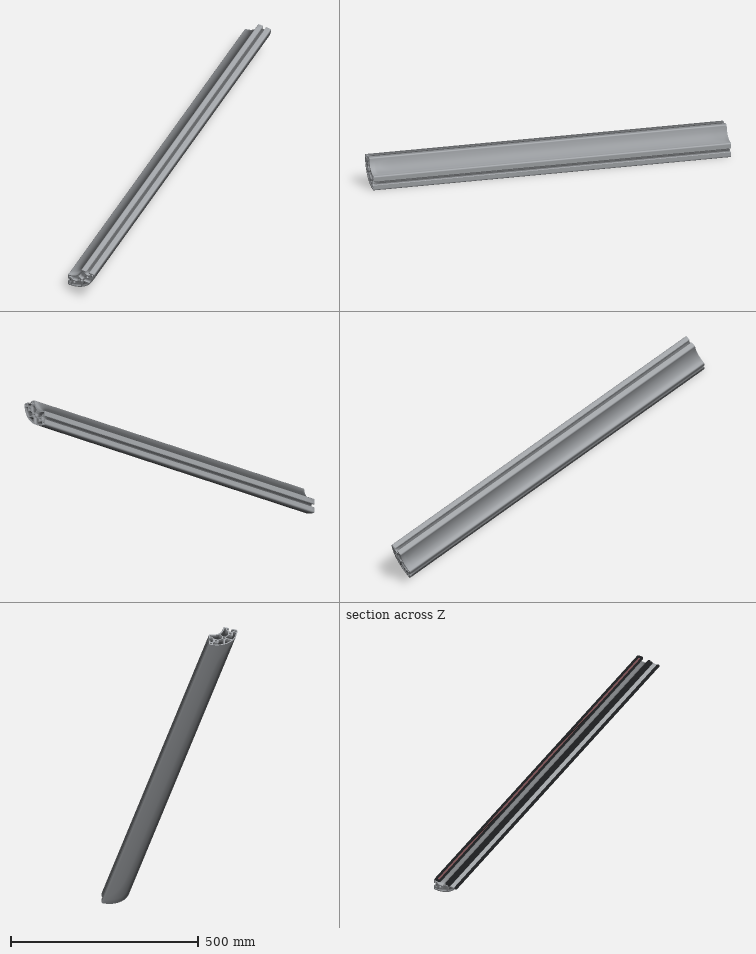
import cadquery as cq
import math

length = 1000.0
outer_radius = 80.0
inner_radius = 40.0
corner_radius = 4.0
middle_radius = (inner_radius + outer_radius) / 2
end_width = outer_radius - inner_radius
diagonal = math.sin(math.radians(45))

outer_wall = 3.0
inner_wall = 3.5
end_wall = 3.5
web = 2.5
hub_web = 3.5

slot_mouth = 8.4
mouth_chamfer = 1.2
lip = 4.0
slot_width = 19.0
slot_depth = 12.0
slot_floor_taper = 5.0
slot_wall = 2.5
slot_floor = 2.0
groove_width = 3.0
groove_depth = 0.5
side_web_depth = 10.0

hole_diameter = 6.8
boss_side = 13.0
boss_depth = 20.0
neck_width = 9.0
hub_side = 11.0
hub_position = middle_radius * diagonal
hub = (hub_position, -hub_position)


def section():
    """XZ sketch plane on the far end face; extrusions run toward -Y."""
    return cq.Workplane("XZ", origin=(0, length / 2, 0))


def prism(points):
    return section().polyline(points).close().extrude(length)


def block(center, x_size, z_size):
    return section().center(*center).rect(x_size, z_size).extrude(length)


def rod(center, diameter):
    return section().center(*center).circle(diameter / 2).extrude(length)


def tube(large_radius, small_radius):
    return section().circle(large_radius).circle(small_radius).extrude(length)


def strut(start, end, thickness):
    """Flat web of the given thickness running between two section points."""
    dx = end[0] - start[0]
    dz = end[1] - start[1]
    middle = ((start[0] + end[0]) / 2, (start[1] + end[1]) / 2)
    angle = math.degrees(math.atan2(dz, dx))
    plane = section().center(*middle).transformed(rotate=(0, 0, angle))
    return plane.rect(math.hypot(dx, dz), thickness).extrude(length)


def across_diagonal(body):
    """Swap the two end faces: (x, z) becomes (-z, -x)."""
    return body.rotate((0, 0, 0), (1, 0, -1), 180)


def slot_chamber(top, side_margin=0.0, floor_margin=0.0):
    """Tapered chamber below the given top level, grown by margins at its sides and floor."""
    half_width = slot_width / 2 + side_margin
    half_floor = half_width - slot_floor_taper
    floor = -slot_depth - floor_margin
    taper_start = floor + slot_floor_taper
    return prism([
        (middle_radius - half_width, top),
        (middle_radius + half_width, top),
        (middle_radius + half_width, taper_start),
        (middle_radius + half_floor, floor),
        (middle_radius - half_floor, floor),
        (middle_radius - half_width, taper_start),
    ])


def end_walls():
    """Slot walls, boss and webs belonging to the upper end face."""
    boss = (middle_radius, -boss_depth)
    face_plate = block((middle_radius, -end_wall / 2), end_width, end_wall)
    slot_shell = slot_chamber(0, slot_wall, slot_floor)
    boss_block = block(boss, boss_side, boss_side)
    neck = strut(boss, (middle_radius, -slot_depth), neck_width)
    side_web_start = (middle_radius + slot_width / 2, -side_web_depth)
    side_web = strut(side_web_start, (outer_radius, -side_web_depth), web)
    boss_to_hub = strut(boss, hub, web)
    hub_to_skin = strut(hub, (outer_radius, -hub_position), hub_web)
    walls = face_plate
    for wall in (slot_shell, boss_block, neck, side_web, boss_to_hub, hub_to_skin):
        walls = walls.union(wall)
    return walls


def end_voids():
    """T-slot with flared mouth and grooved floor, and screw hole, of the upper end face."""
    half_mouth = slot_mouth / 2
    mouth = block((middle_radius, -slot_depth / 2), slot_mouth, slot_depth)
    flare = prism([
        (middle_radius - half_mouth - mouth_chamfer, 0),
        (middle_radius + half_mouth + mouth_chamfer, 0),
        (middle_radius + half_mouth, -mouth_chamfer),
        (middle_radius - half_mouth, -mouth_chamfer),
    ])
    groove = prism([
        (middle_radius - groove_width / 2, -slot_depth),
        (middle_radius + groove_width / 2, -slot_depth),
        (middle_radius, -slot_depth - groove_depth),
    ])
    hole = rod((middle_radius, -boss_depth), hole_diameter)
    return slot_chamber(-lip).union(mouth).union(flare).union(groove).union(hole)


quadrant = block((outer_radius / 2, -outer_radius / 2), outer_radius, outer_radius)
envelope = tube(outer_radius, inner_radius).intersect(quadrant)
envelope = envelope.edges("|Y").fillet(corner_radius)

body = tube(outer_radius, outer_radius - outer_wall)
body = body.union(tube(inner_radius + inner_wall, inner_radius))
body = body.union(block(hub, hub_side, hub_side))
inner_point = (inner_radius * diagonal, -inner_radius * diagonal)
body = body.union(strut(inner_point, hub, web))

upper_walls = end_walls()
body = body.union(upper_walls).union(across_diagonal(upper_walls))
body = body.intersect(envelope)

upper_voids = end_voids()
body = body.cut(upper_voids).cut(across_diagonal(upper_voids))
result = body.cut(rod(hub, hole_diameter))